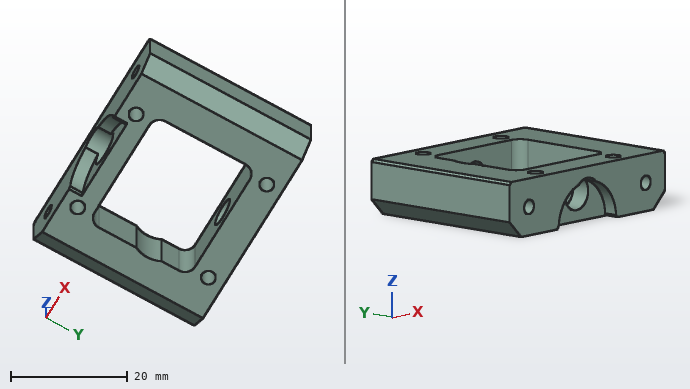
import cadquery as cq

length = 40.0
width = 32.0
height = 10.0
top_chamfer = 0.5
bottom_chamfer = 3.0

window_length = 22.8
window_width = 20.0
window_corner_radius = 2.05
notch_depth = 0.6
notch_width = 5.05
notch_y = 2.0

screw_diameter = 2.5
vertical_spacing_x = 20.0
vertical_spacing_y = 26.0
side_spacing = 30.0
front_bore_diameter = 6.0
rear_bore_diameter = 5.05
bore_z = height / 2

recess_radius = 7.4
recess_depth = 2.5
recess_edge_chamfer = 0.4


def make_block():
    """Prism along Y with chamfered long edges."""
    half = length / 2
    return (
        cq.Workplane("XZ")
        .moveTo(-half + bottom_chamfer, 0)
        .lineTo(half - bottom_chamfer, 0)
        .lineTo(half, bottom_chamfer)
        .lineTo(half, height - top_chamfer)
        .lineTo(half - top_chamfer, height)
        .lineTo(-half + top_chamfer, height)
        .lineTo(-half, height - top_chamfer)
        .lineTo(-half, bottom_chamfer)
        .close()
        .extrude(width / 2, both=True)
    )


def make_window():
    """Rounded window with a shallow arc notch in its -X wall."""
    opening = (
        cq.Workplane("XY")
        .rect(window_length, window_width)
        .extrude(height)
        .edges("|Z")
        .fillet(window_corner_radius)
    )
    wall_x = -window_length / 2
    notch = (
        cq.Workplane("XY")
        .moveTo(wall_x, notch_y - notch_width / 2)
        .threePointArc((wall_x - notch_depth, notch_y), (wall_x, notch_y + notch_width / 2))
        .lineTo(0, notch_y)
        .close()
        .extrude(height)
    )
    return opening.union(notch)


def hole_along_y(diameter, x, start_y, depth):
    """Cylinder at bore height, running from start_y toward +Y."""
    return (
        cq.Workplane("XZ", origin=(x, start_y, bore_z))
        .circle(diameter / 2)
        .extrude(-depth)
    )


def make_recess():
    """Half-round recess from the front face, with its bottom edges broken."""
    front_y = -width / 2
    flare = recess_radius + recess_edge_chamfer
    arch = (
        cq.Workplane("XZ", origin=(0, front_y, 0))
        .circle(recess_radius)
        .extrude(-recess_depth)
    )
    edge_break = (
        cq.Workplane("XZ", origin=(0, front_y, 0))
        .moveTo(-flare, 0)
        .lineTo(flare, 0)
        .lineTo(0, flare)
        .close()
        .extrude(-recess_depth)
    )
    return arch.union(edge_break)


vertical_holes = (
    cq.Workplane("XY")
    .rect(vertical_spacing_x, vertical_spacing_y, forConstruction=True)
    .vertices()
    .circle(screw_diameter / 2)
    .extrude(height)
)

result = make_block().cut(make_window()).cut(vertical_holes).cut(make_recess())
for side in (-1, 1):
    result = result.cut(hole_along_y(screw_diameter, side * side_spacing / 2, -width / 2, width))
result = result.cut(hole_along_y(front_bore_diameter, 0, -width / 2, width / 2))
result = result.cut(hole_along_y(rear_bore_diameter, 0, 0, width / 2))